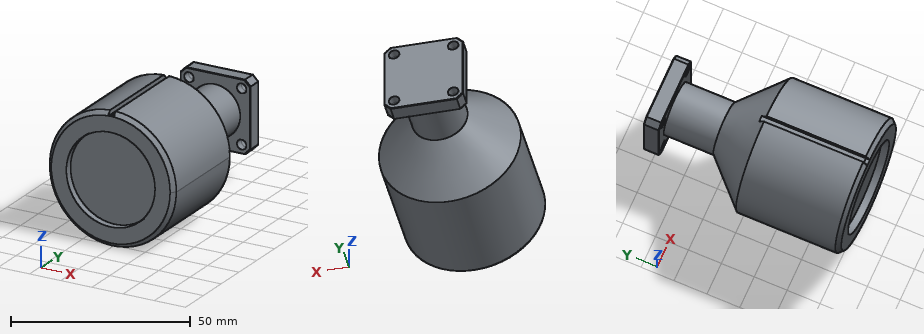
import cadquery as cq

total_length = 63.5
body_radius = 20.3
body_length = 31.45
cone_length = 12.3
neck_radius = 8.0
front_chamfer = 1.3

flange_size = 22.5
flange_thickness = 4.7
flange_corner_cut = 1.8
flange_edge_chamfer = 0.2
hole_diameter = 3.0
hole_spacing = 16.9

recess_diameter = 28.45
recess_depth = 2.35
groove_width = 1.8
groove_depth = 1.45
lip_length = 1.2

flange_front = total_length - flange_thickness
cone_end = body_length + cone_length


def turned_body():
    """Chamfered cylinder, cone and neck, revolved about the Y axis."""
    profile = (
        cq.Workplane("XY")
        .lineTo(body_radius - front_chamfer, 0)
        .lineTo(body_radius, front_chamfer)
        .lineTo(body_radius, body_length)
        .lineTo(neck_radius, cone_end)
        .lineTo(neck_radius, flange_front)
        .lineTo(0, flange_front)
        .close()
    )
    return profile.revolve(360, (0, 0), (0, 1))


def flange():
    """Square plate with cut corners, broken edges and four through holes."""
    plate = (
        cq.Workplane("XY")
        .box(flange_size, flange_thickness, flange_size)
        .edges("|Y").chamfer(flange_corner_cut)
        .faces("<Y or >Y").chamfer(flange_edge_chamfer)
    )
    holes = (
        cq.Workplane("XZ")
        .rect(hole_spacing, hole_spacing, forConstruction=True)
        .vertices()
        .circle(hole_diameter / 2)
        .extrude(flange_thickness, both=True)
    )
    return plate.cut(holes).translate((0, total_length - flange_thickness / 2, 0))


def recess():
    """Shallow round pocket in the front face."""
    return cq.Workplane("XZ").circle(recess_diameter / 2).extrude(-recess_depth)


def groove():
    """Flat-floored groove along the top, stopping at a round lip behind the front face."""
    channel = cq.Workplane("XY").box(
        groove_width, cone_end, 2 * groove_depth, centered=(True, False, True)
    ).translate((0, 0, body_radius))
    lip = cq.Workplane("XZ").circle(body_radius - front_chamfer).extrude(-lip_length)
    return channel.cut(lip)


result = turned_body().union(flange()).cut(recess()).cut(groove())
result = result.translate((0, -total_length / 2, 0))